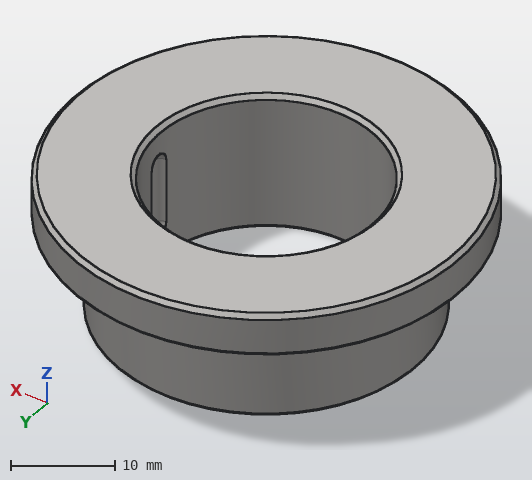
import cadquery as cq
import math

total_height = 16.0
flange_diameter = 45.0
flange_thickness = 5.0
body_diameter = 35.0
bore_diameter = 25.0
chamfer = 0.5

groove_width = 2.5
groove_depth = 1.0
groove_length = 10.0
groove_mid_height = total_height / 2


def disc(diameter, bottom, height):
    """Cylinder on the Z axis with both rims chamfered."""
    return (
        cq.Workplane("XY", origin=(0, 0, bottom))
        .circle(diameter / 2)
        .extrude(height)
        .faces("<Z or >Z")
        .edges()
        .chamfer(chamfer)
    )


def make_bush():
    """Body and flange with a through bore chamfered at both mouths."""
    flange_bottom = total_height - flange_thickness
    flange = disc(flange_diameter, flange_bottom, flange_thickness)
    body = disc(body_diameter, 0, total_height - chamfer)
    bore = cq.Workplane("XY").circle(bore_diameter / 2).extrude(total_height)
    bush = body.union(flange).cut(bore)
    bore_mouths = cq.selectors.RadiusNthSelector(0)
    return bush.faces("<Z or >Z").edges(bore_mouths).chamfer(chamfer)


def make_groove_cutter():
    """Upright ball-ended pin that reaches the groove depth into the bore wall."""
    radius = groove_width / 2
    axis_x = bore_diameter / 2 + groove_depth - radius
    half_length = groove_length / 2
    half_straight = half_length - radius
    arc_offset = radius * math.sqrt(0.5)
    return (
        cq.Workplane("XZ", origin=(axis_x, 0, groove_mid_height))
        .moveTo(0, -half_length)
        .threePointArc((arc_offset, -half_straight - arc_offset), (radius, -half_straight))
        .lineTo(radius, half_straight)
        .threePointArc((arc_offset, half_straight + arc_offset), (0, half_length))
        .close()
        .revolve(360, (0, 0, 0), (0, 1, 0))
    )


result = make_bush().cut(make_groove_cutter())